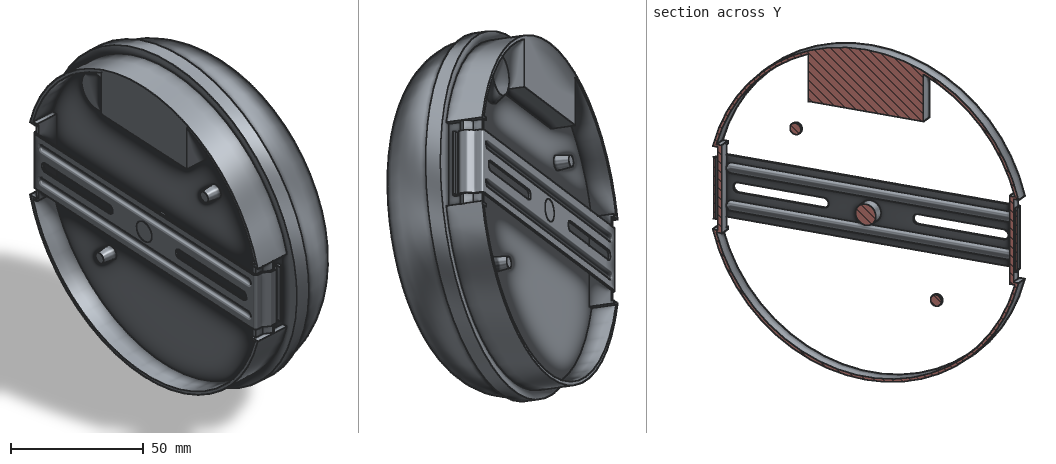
import cadquery as cq
import math


RIM_RADIUS = 70.0
RIM_FRONT = 14.7
RIM_BACK = 20.7
TOTAL_DEPTH = 50.0
DOME_RADIUS = 68.3
SHOULDER_RADIUS = 25.0
CAP_RADIUS = 47.9

WALL_RADIUS = 66.5
WALL_THICKNESS = 1.4
FLOOR_FRONT = 10.0
INNER_RADIUS = WALL_RADIUS - WALL_THICKNESS

BLOCK_WIDTH = 48.5
BLOCK_BOTTOM = 41.5
BOSS_X = -33.5
BOSS_Z = 44.2
BOSS_FRONT = 5.7
BOSS_FOOT_RADIUS = 10.6
BOSS_TIP_RADIUS = 8.0

PIN_OFFSET = 29.5
PIN_FRONT = 4.0
PIN_FOOT_RADIUS = 3.0
PIN_TIP_RADIUS = 2.2

SHEET = 0.8
STRAP_FRONT = 0.1
STRAP_BACK = STRAP_FRONT + SHEET
STRAP_HALF_WIDTH = 12.5
BEND_RADIUS = 1.3

RECESS_HALF_WIDTH = 16.7
RECESS_SIDE_WALL = 1.1
SEAT_OUTER = 62.0
SEAT_INNER = 60.5
RIDGE_START = 4.6
RIDGE_PEAK = 8.0
RIDGE_HEIGHT = 1.8

LEG_OUTER = SEAT_OUTER + SHEET
LEG_CREST = SEAT_OUTER + RIDGE_HEIGHT + SHEET
LEG_RAMP_START = 3.6
LEG_RAMP_END = 6.3
LEG_RAMP_ROUND = 1.1
LEG_PEAK = 8.3
FOOT_FRONT = 10.9
FOOT_BACK = 12.2
FOOT_TIP = 64.7
FOOT_CHAMFER = 0.4

BEAD_Z = 7.5
BEAD_END_CENTRE = 58.4
BEAD_LIP_ROUND = 1.0
BEAD_ROOT_ROUND = 0.8
BEAD_FLAT = 0.4
SLOT_INNER_END = 17.8
SLOT_OUTER_END = 57.8
SLOT_WIDTH = 4.0
POST_RADIUS = 4.3

OVERCUT = 1.4
COS45 = math.sqrt(0.5)


def box(x0, x1, y0, y1, z0, z1):
    """Box between two opposite corners."""
    return cq.Workplane("XY").box(x1 - x0, y1 - y0, z1 - z0, centered=False).translate((x0, y0, z0))


def cylinder(back, front, radius):
    """Cylinder on the Y axis."""
    return cq.Workplane(
        cq.Solid.makeCylinder(radius, back - front, cq.Vector(0, back, 0), cq.Vector(0, -1, 0))
    )


def tapered_post(x, z, front, foot_radius, tip_radius):
    """Tapered post that stands on the floor and points to the open front."""
    foot = cq.Vector(x, FLOOR_FRONT, z)
    return cq.Workplane(
        cq.Solid.makeCone(foot_radius, tip_radius, FLOOR_FRONT - front, foot, cq.Vector(0, -1, 0))
    )


def both_ends(body):
    """A feature on the -X end together with its mirror image on the +X end."""
    return body.union(body.mirror("YZ"))


def make_diffuser():
    shoulder_centre = DOME_RADIUS - SHOULDER_RADIUS

    def shoulder_depth(radius):
        return RIM_BACK + math.sqrt(SHOULDER_RADIUS**2 - (radius - shoulder_centre) ** 2)

    cap_depth = shoulder_depth(CAP_RADIUS)
    shoulder_middle = shoulder_centre + SHOULDER_RADIUS * COS45
    cap_rise = TOTAL_DEPTH - cap_depth
    cap_sphere = (CAP_RADIUS**2 + cap_rise**2) / (2 * cap_rise)
    cap_middle = CAP_RADIUS / 2
    cap_middle_depth = TOTAL_DEPTH - cap_sphere + math.sqrt(cap_sphere**2 - cap_middle**2)
    return (
        cq.Workplane("YZ")
        .moveTo(RIM_FRONT, 0)
        .lineTo(RIM_FRONT, RIM_RADIUS)
        .lineTo(RIM_BACK, RIM_RADIUS)
        .lineTo(RIM_BACK, DOME_RADIUS)
        .threePointArc((shoulder_depth(shoulder_middle), shoulder_middle), (cap_depth, CAP_RADIUS))
        .threePointArc((cap_middle_depth, cap_middle), (TOTAL_DEPTH, 0))
        .close()
        .revolve(360, (0, 0, 0), (1, 0, 0))
    )


def make_tray():
    return (
        cq.Workplane("YZ")
        .polyline(
            [
                (RIM_FRONT, 0),
                (RIM_FRONT, -WALL_RADIUS),
                (0, -WALL_RADIUS),
                (0, -INNER_RADIUS),
                (FLOOR_FRONT, -INNER_RADIUS),
                (FLOOR_FRONT, 0),
            ]
        )
        .close()
        .revolve(360, (0, 0, 0), (1, 0, 0))
    )


def make_ridge():
    """Snap ridge on the -X seat: a straight ramp up to a quarter-round return."""
    arc = RIDGE_HEIGHT * COS45
    return (
        cq.Workplane("XY")
        .moveTo(-SEAT_OUTER, RIDGE_START)
        .lineTo(-SEAT_OUTER - RIDGE_HEIGHT, RIDGE_PEAK)
        .threePointArc(
            (-SEAT_OUTER - arc, RIDGE_PEAK + arc),
            (-SEAT_OUTER, RIDGE_PEAK + RIDGE_HEIGHT),
        )
        .close()
        .extrude(RECESS_HALF_WIDTH, both=True)
    )


def make_base():
    envelope = cylinder(RIM_FRONT, 0, WALL_RADIUS)
    side = RECESS_HALF_WIDTH + RECESS_SIDE_WALL

    block = box(-BLOCK_WIDTH / 2, BLOCK_WIDTH / 2, 0, FLOOR_FRONT, BLOCK_BOTTOM, WALL_RADIUS)
    base = make_tray().union(block.intersect(envelope))

    boss = tapered_post(BOSS_X, BOSS_Z, BOSS_FRONT, BOSS_FOOT_RADIUS, BOSS_TIP_RADIUS)
    base = base.union(boss.intersect(envelope))
    for sign in (1, -1):
        place = sign * PIN_OFFSET
        base = base.union(tapered_post(place, place, PIN_FRONT, PIN_FOOT_RADIUS, PIN_TIP_RADIUS))

    frame = box(-WALL_RADIUS, -SEAT_INNER, 0, FLOOR_FRONT, -side, side).intersect(envelope)
    opening = box(
        -RIM_RADIUS, -SEAT_OUTER, -OVERCUT, RIM_FRONT, -RECESS_HALF_WIDTH, RECESS_HALF_WIDTH
    )
    seat_step = box(
        -RIM_RADIUS, -SEAT_INNER, -OVERCUT, STRAP_BACK, -RECESS_HALF_WIDTH, RECESS_HALF_WIDTH
    )
    base = base.union(both_ends(frame)).cut(both_ends(opening)).cut(both_ends(seat_step))
    base = base.union(both_ends(make_ridge()))

    return base.union(cylinder(FLOOR_FRONT, STRAP_FRONT, POST_RADIUS))


def make_leg():
    """Leg of the bracket on the -X end, from the bend to the foot."""
    ridge_crest = SEAT_OUTER + RIDGE_HEIGHT
    ridge_arc = RIDGE_HEIGHT * COS45
    bend_centre_x = -LEG_OUTER + BEND_RADIUS
    bend_centre_y = STRAP_FRONT + BEND_RADIUS
    bend_arc = BEND_RADIUS * COS45
    ramp_angle = math.atan2(RIDGE_HEIGHT, LEG_RAMP_END - LEG_RAMP_START)
    ramp_shift = SHEET * math.tan(ramp_angle / 2)
    leg = (
        cq.Workplane("XY")
        .moveTo(bend_centre_x, STRAP_FRONT)
        .threePointArc((bend_centre_x - bend_arc, bend_centre_y - bend_arc), (-LEG_OUTER, bend_centre_y))
        .lineTo(-LEG_OUTER, LEG_RAMP_START)
        .lineTo(-LEG_CREST, LEG_RAMP_END)
        .lineTo(-LEG_CREST, LEG_PEAK)
        .threePointArc(
            (-LEG_OUTER - ridge_arc, LEG_PEAK + ridge_arc),
            (-LEG_OUTER, LEG_PEAK + RIDGE_HEIGHT),
        )
        .lineTo(-LEG_OUTER, FOOT_FRONT)
        .lineTo(-FOOT_TIP, FOOT_FRONT)
        .lineTo(-FOOT_TIP, FOOT_BACK - FOOT_CHAMFER)
        .lineTo(-FOOT_TIP + FOOT_CHAMFER, FOOT_BACK)
        .lineTo(-SEAT_OUTER, FOOT_BACK)
        .lineTo(-SEAT_OUTER, RIDGE_PEAK + RIDGE_HEIGHT)
        .threePointArc((-SEAT_OUTER - ridge_arc, RIDGE_PEAK + ridge_arc), (-ridge_crest, RIDGE_PEAK))
        .lineTo(-ridge_crest, LEG_RAMP_END + ramp_shift)
        .lineTo(-SEAT_OUTER, LEG_RAMP_START + ramp_shift)
        .lineTo(-SEAT_OUTER, STRAP_BACK)
        .lineTo(bend_centre_x, STRAP_BACK)
        .close()
        .extrude(STRAP_HALF_WIDTH, both=True)
    )
    for corner in ((-LEG_OUTER, LEG_RAMP_START, 0), (-LEG_CREST, LEG_RAMP_END, 0)):
        leg = leg.edges("|Z").edges(cq.NearestToPointSelector(corner)).fillet(LEG_RAMP_ROUND)
    return leg


def bead_shape(half_section):
    """Long round-ended bead along X, from a half section across it, beside its centre line."""
    end = half_section.revolve(360, (0, 0, 0), (0, 1, 0))
    bar = half_section.toPending().extrude(2 * BEAD_END_CENTRE).translate((-BEAD_END_CENTRE, 0, 0))
    bar = bar.union(bar.mirror("XY"))
    return bar.union(end.translate((BEAD_END_CENTRE, 0, 0))).union(end.translate((-BEAD_END_CENTRE, 0, 0)))


def section_plane():
    """Plane across the strap, with local x along -Z and local y along +Y."""
    return cq.Workplane(cq.Plane(origin=(0, 0, 0), xDir=(0, 0, -1), normal=(1, 0, 0)))


def make_bead_groove():
    neck = BEAD_FLAT + BEAD_ROOT_ROUND
    mouth = neck + BEAD_LIP_ROUND
    lip_bottom = STRAP_FRONT + BEAD_LIP_ROUND
    bottom = lip_bottom + BEAD_ROOT_ROUND
    lip_arc = BEAD_LIP_ROUND * (1 - COS45)
    root_arc = BEAD_ROOT_ROUND * COS45
    return bead_shape(
        section_plane()
        .moveTo(0, STRAP_FRONT)
        .lineTo(mouth, STRAP_FRONT)
        .threePointArc((neck + lip_arc, STRAP_FRONT + lip_arc), (neck, lip_bottom))
        .threePointArc((BEAD_FLAT + root_arc, lip_bottom + root_arc), (BEAD_FLAT, bottom))
        .lineTo(0, bottom)
        .close()
    )


def make_bead_back():
    half_width = BEAD_FLAT + BEAD_ROOT_ROUND + SHEET
    round_start = STRAP_FRONT + BEAD_LIP_ROUND
    back_round = BEAD_ROOT_ROUND + SHEET
    arc = back_round * COS45
    return bead_shape(
        section_plane()
        .moveTo(0, STRAP_FRONT)
        .lineTo(half_width, STRAP_FRONT)
        .lineTo(half_width, round_start)
        .threePointArc((BEAD_FLAT + arc, round_start + arc), (BEAD_FLAT, round_start + back_round))
        .lineTo(0, round_start + back_round)
        .close()
    )


def make_bracket():
    strap_end = LEG_OUTER - BEND_RADIUS
    strap = box(-strap_end, strap_end, STRAP_FRONT, STRAP_BACK, -STRAP_HALF_WIDTH, STRAP_HALF_WIDTH)
    bracket = strap.union(both_ends(make_leg()))

    for z in (BEAD_Z, -BEAD_Z):
        bracket = bracket.union(make_bead_back().translate((0, 0, z)))
        bracket = bracket.cut(make_bead_groove().translate((0, 0, z)))

    slots = (
        cq.Workplane("XZ")
        .pushPoints([(sign * (SLOT_INNER_END + SLOT_OUTER_END) / 2, 0) for sign in (-1, 1)])
        .slot2D(SLOT_OUTER_END - SLOT_INNER_END, SLOT_WIDTH)
        .extrude(OVERCUT, both=True)
    )
    centre_hole = cylinder(STRAP_BACK, STRAP_FRONT, POST_RADIUS)
    return bracket.cut(slots).cut(centre_hole)


diffuser = make_diffuser()
base = make_base()
bracket = make_bracket()

result = cq.Compound.makeCompound([diffuser.val(), base.solids().val(), bracket.solids().val()])